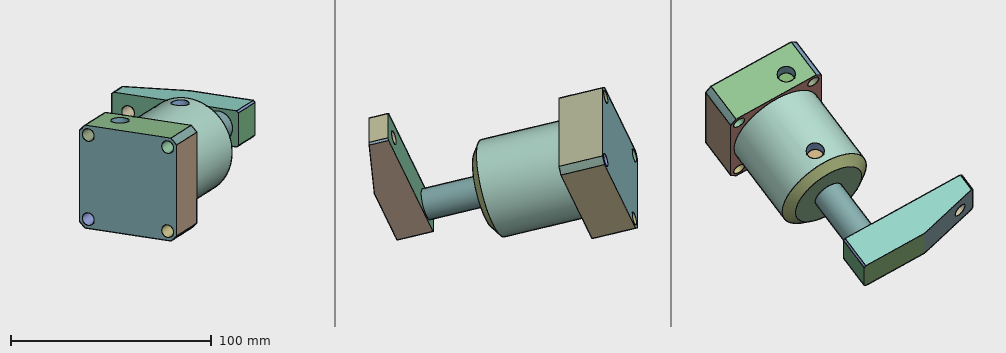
import cadquery as cq

base_side = 54.0
base_depth = 23.0
base_corner_diameter = 72.0
mount_hole_spacing = 44.0
mount_hole_diameter = 6.5

barrel_diameter = 50.0
barrel_length = 48.0
barrel_chamfer_length = 4.0
barrel_chamfer_radial = 5.3

rod_diameter = 16.0
rod_length = 31.0

total_length = 121.0
arm_width = 19.0
arm_tip_x = -59.0
arm_heel_x = 11.3
arm_taper_start_x = -24.7
arm_tip_thickness = 10.0
arm_edge_chamfer = 1.0
arm_hole_x = -50.0
arm_hole_diameter = 7.0

port_mouth_diameter = 9.1
port_floor_diameter = 8.5
port_depth = 5.8
barrel_port_setback = 12.2
base_port_x = -11.5
base_port_y = 14.5

barrel_end_y = base_depth + barrel_length
arm_start_y = barrel_end_y + rod_length
arm_thickness = total_length - arm_start_y


def y_cylinder(diameter, start_y, length):
    """Cylinder along +Y, centred on the main axis."""
    return cq.Workplane("XZ", origin=(0, start_y, 0)).circle(diameter / 2).extrude(-length)


def port(x, y, surface_z):
    """Cutter for a blind tapered port whose mouth lies on the +Z surface."""
    return (
        cq.Workplane("XY", origin=(x, y, surface_z))
        .circle(port_mouth_diameter / 2)
        .workplane(offset=-port_depth)
        .circle(port_floor_diameter / 2)
        .loft()
    )


def make_base():
    """Square mounting block with turned corners, four through holes and one port."""
    square = cq.Workplane("XZ").rect(base_side, base_side).extrude(-base_depth)
    block = square.intersect(y_cylinder(base_corner_diameter, 0, base_depth))
    mount_holes = (
        cq.Workplane("XZ")
        .rect(mount_hole_spacing, mount_hole_spacing, forConstruction=True)
        .vertices()
        .circle(mount_hole_diameter / 2)
        .extrude(-base_depth)
    )
    return block.cut(mount_holes).cut(port(base_port_x, base_port_y, base_side / 2))


def make_barrel():
    """Round cylinder body with a conical rod-end edge and one port."""
    radius = barrel_diameter / 2
    profile = [
        (0, base_depth),
        (radius, base_depth),
        (radius, barrel_end_y - barrel_chamfer_length),
        (radius - barrel_chamfer_radial, barrel_end_y),
        (0, barrel_end_y),
    ]
    body = cq.Workplane("XY").polyline(profile).close().revolve(360, (0, 0, 0), (0, 1, 0))
    return body.cut(port(0, barrel_end_y - barrel_port_setback, radius))


def make_rod():
    """Piston rod between the barrel and the clamp arm."""
    return y_cylinder(rod_diameter, barrel_end_y, rod_length)


def make_arm():
    """Clamp arm, tapered towards its tip, with a through hole near the tip."""
    outline = [
        (arm_tip_x, arm_start_y),
        (arm_heel_x, arm_start_y),
        (arm_heel_x, total_length),
        (arm_taper_start_x, total_length),
        (arm_tip_x, arm_start_y + arm_tip_thickness),
    ]
    arm = (
        cq.Workplane("XY", origin=(0, 0, -arm_width / 2))
        .polyline(outline)
        .close()
        .extrude(arm_width)
        .edges("|Y")
        .chamfer(arm_edge_chamfer)
    )
    tip_hole = y_cylinder(arm_hole_diameter, arm_start_y, arm_thickness).translate((arm_hole_x, 0, 0))
    return arm.cut(tip_hole)


base = make_base()
barrel = make_barrel()
rod = make_rod()
arm = make_arm()

result = cq.Compound.makeCompound([base.val(), barrel.val(), rod.val(), arm.val()])